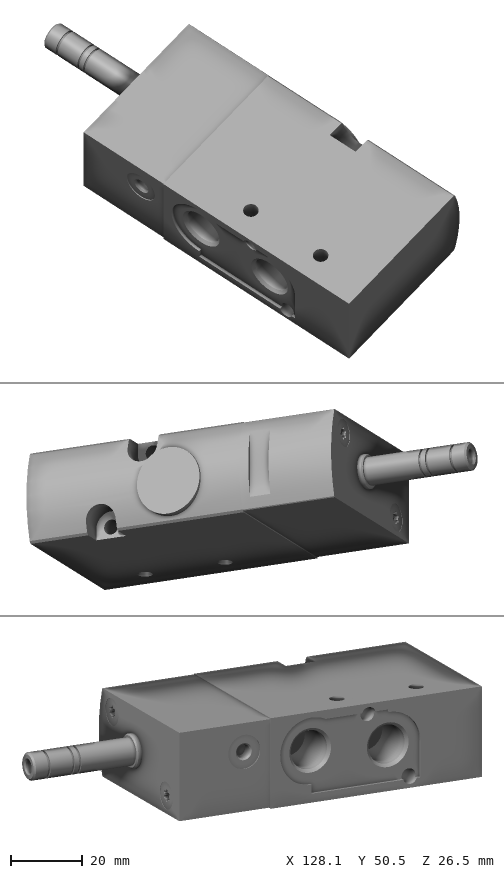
import cadquery as cq
import math


overall_length = 128.1
stem_length = 33.3
pilot_length = 28.6
body_length = overall_length - stem_length - pilot_length
body_start = pilot_length
body_thickness = 26.5
pilot_thickness = 25.9
pilot_front = 0.3
back_apex = 49.8
back_shoulder = 47.8
body_edge_break = 0.6
pilot_edge_break = 0.3

port_diameter = 11.4
port_chamfer_diameter = 13.1
port_depth = 15.4
left_port = (41.4, 1.8)
right_port = (65.7, 0.0)
recess_radius = 9.9
recess_depth = 0.9
recess_half_height = 10.6

mount_diameter = 4.4
mount_offset = 10.0
mount_holes = [(59.3, mount_offset), (72.2, -mount_offset)]
head_pocket_width = 9.2
head_pocket_depth = 7.8
cross_hole_y = 8.1
cross_holes = [(53.4, cross_hole_y), (78.3, cross_hole_y)]

pad_diameter = 19.5
pad_top = 50.5
pad_center = (50.3, -1.8)
pad_root = 46.5

slot_start = 19.5
slot_width = 6.3
slot_depth = 1.2

stem_y = 28.2
stem_diameter = 8.1
collar_diameter = 10.0
collar_length = 1.5
collar_chamfer = 0.4
tip_chamfer = 0.5
groove_diameter = 7.0
groove_spans = [(4.4, 5.1), (12.0, 12.7), (14.1, 14.7)]
bore_mouth_diameter = 4.7
bore_diameter = 4.0
bore_depth = 7.7
inner_bore_diameter = 2.5
inner_bore_depth = 11.5
vent_diameter = 0.9
vent_depth = 15.4

screw_diameter = 8.0
screw_recess = 0.1
screw_seat_depth = 3.8
screw_centers = [(41.8, 7.5), (8.3, -7.7)]
drive_diameter = 3.7
drive_depth = 1.3
drive_lobes = 6
drive_angle = 90
drive_lobe_diameter = 0.9

override_center = (20.4, 4.5)
override_diameter = 10.0
override_recess = 0.3
override_hole_diameter = 4.1
override_mouth_diameter = 5.0
override_hole_depth = 3.5


def cylinder_x(diameter, x_start, x_end, y, z):
    return cq.Workplane("YZ", (x_start, y, z)).circle(diameter / 2).extrude(x_end - x_start)


def cylinder_y(diameter, y_start, y_end, x, z):
    return cq.Workplane("XZ", (x, y_start, z)).circle(diameter / 2).extrude(y_start - y_end)


def cone_y(front_diameter, rear_diameter, y_start, x, z):
    front_radius = front_diameter / 2
    rear_radius = rear_diameter / 2
    start = cq.Vector(x, y_start, z)
    cone = cq.Solid.makeCone(front_radius, rear_radius, front_radius - rear_radius, start, cq.Vector(0, 1, 0))
    return cq.Workplane("XY").add(cone)


def domed_block(x_start, length, front, thickness, edge_break):
    half = thickness / 2
    return (
        cq.Workplane("YZ", (x_start, 0, 0))
        .moveTo(front, -half)
        .lineTo(back_shoulder - edge_break, -half)
        .lineTo(back_shoulder, edge_break - half)
        .threePointArc((back_apex, 0), (back_shoulder, half - edge_break))
        .lineTo(back_shoulder - edge_break, half)
        .lineTo(front, half)
        .close()
        .extrude(length)
    )


def port_recess():
    left_x, left_z = left_port
    right_x, right_z = right_port
    rise = recess_half_height - left_z
    meet_x = left_x + math.sqrt(recess_radius**2 - rise**2)
    diagonal = recess_radius * math.sqrt(0.5)
    return (
        cq.Workplane("XZ")
        .moveTo(left_x, left_z - recess_radius)
        .threePointArc((left_x - recess_radius, left_z), (meet_x, recess_half_height))
        .lineTo(right_x, recess_half_height)
        .lineTo(right_x, right_z + recess_radius)
        .threePointArc((right_x + diagonal, right_z + diagonal), (right_x + recess_radius, right_z))
        .lineTo(right_x + recess_radius, -recess_half_height)
        .lineTo(left_x, -recess_half_height)
        .close()
        .extrude(-recess_depth)
    )


def head_pocket(x, z):
    floor = back_apex - head_pocket_depth
    outer_face = math.copysign(body_thickness / 2, z)
    opening = cq.Workplane("XY").box(head_pocket_width, head_pocket_depth, abs(outer_face - z))
    opening = opening.translate((x, floor + head_pocket_depth / 2, (outer_face + z) / 2))
    return cylinder_y(head_pocket_width, floor, back_apex, x, z).union(opening)


def make_body():
    body = domed_block(body_start, body_length, 0, body_thickness, body_edge_break)
    pad_x, pad_z = pad_center
    body = body.union(cylinder_y(pad_diameter, pad_root, pad_top, pad_x, pad_z))
    body = body.cut(port_recess())
    for x, z in (left_port, right_port):
        body = body.cut(cylinder_y(port_diameter, 0, port_depth, x, z))
        body = body.cut(cone_y(port_chamfer_diameter, port_diameter, recess_depth, x, z))
    for x, z in mount_holes:
        body = body.cut(cylinder_y(mount_diameter, 0, back_apex, x, z))
        body = body.cut(head_pocket(x, z))
    for x, y in cross_holes:
        hole = cq.Workplane("XY", (x, y, -body_thickness / 2)).circle(mount_diameter / 2)
        body = body.cut(hole.extrude(body_thickness))
    return body


def drive_socket(y, z):
    profile = cq.Workplane("YZ", (screw_recess, y, z))
    reach = (drive_diameter - drive_lobe_diameter) / 2
    socket = profile.circle(reach).extrude(drive_depth)
    lobes = profile.polarArray(reach, drive_angle, 360, drive_lobes).circle(drive_lobe_diameter / 2)
    return socket.union(lobes.extrude(drive_depth))


def make_stem():
    blank_radius = collar_diameter / 2
    tip = -stem_length
    stem = cylinder_x(stem_diameter, tip, 0, stem_y, 0).faces("<X").chamfer(tip_chamfer)
    collar = cylinder_x(collar_diameter, -collar_length, 0, stem_y, 0).faces("<X").chamfer(collar_chamfer)
    stem = stem.union(collar)
    for start, end in groove_spans:
        ring = cq.Workplane("YZ", (tip + start, stem_y, 0)).circle(blank_radius).circle(groove_diameter / 2)
        stem = stem.cut(ring.extrude(end - start))
    return stem.cut(stem_bore())


def stem_bore():
    mouth_depth = (bore_mouth_diameter - bore_diameter) / 2
    shoulder_end = bore_depth + (bore_diameter - inner_bore_diameter) / 2
    profile = (
        cq.Workplane("XY", (-stem_length, stem_y, 0))
        .lineTo(0, bore_mouth_diameter / 2)
        .lineTo(mouth_depth, bore_diameter / 2)
        .lineTo(bore_depth, bore_diameter / 2)
        .lineTo(shoulder_end, inner_bore_diameter / 2)
        .lineTo(inner_bore_depth, inner_bore_diameter / 2)
        .lineTo(inner_bore_depth, vent_diameter / 2)
        .lineTo(vent_depth, vent_diameter / 2)
        .lineTo(vent_depth, 0)
        .close()
    )
    return profile.revolve(360, (0, 0, 0), (1, 0, 0))


def cut_override(pilot):
    x, z = override_center
    floor = pilot_front + override_recess
    pilot = pilot.cut(cylinder_y(override_diameter, pilot_front, floor, x, z))
    pilot = pilot.cut(cylinder_y(override_hole_diameter, floor, pilot_front + override_hole_depth, x, z))
    return pilot.cut(cone_y(override_mouth_diameter, override_hole_diameter, floor, x, z))


def make_pilot():
    pilot = domed_block(0, pilot_length, pilot_front, pilot_thickness, pilot_edge_break)
    slot = cq.Workplane("XY").box(slot_width, slot_depth, pilot_thickness, centered=(False, False, True))
    pilot = pilot.cut(slot.translate((slot_start, back_apex - slot_depth, 0)))
    pilot = cut_override(pilot)
    for y, z in screw_centers:
        pilot = pilot.cut(cylinder_x(screw_diameter, 0, screw_seat_depth, y, z))
    return pilot.union(make_stem())


def make_screw(y, z):
    screw = cylinder_x(screw_diameter, screw_recess, screw_seat_depth, y, z)
    return screw.cut(drive_socket(y, z))


body = make_body()
pilot = make_pilot()
screws = [make_screw(y, z) for y, z in screw_centers]

result = cq.Compound.makeCompound([body.val(), pilot.val(), *[screw.val() for screw in screws]])